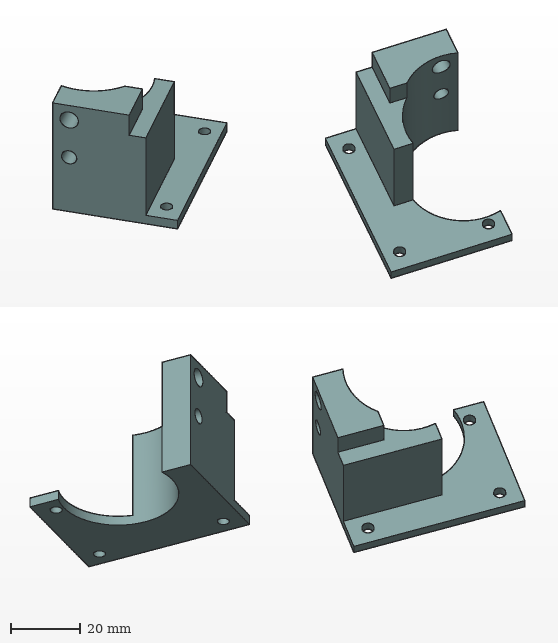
import cadquery as cq

plate_width = 37.5
plate_length = 52.0
plate_thickness = 3.0

lower_width = 28.0
lower_length = 30.0
lower_height = 30.0
upper_width = 23.0
upper_length = 14.0
total_height = 37.0

bore_diameter = 35.0
bore_x = 5.0
bore_y = plate_length / 2

screw_diameter = 3.5
screw_edge_inset = 6.0
screw_left_x = bore_x
screw_right_x = plate_width - 5.0
screw_back_y = plate_length - screw_edge_inset
screw_points = [
    (screw_left_x, screw_back_y),
    (screw_right_x, screw_back_y),
    (screw_right_x, screw_edge_inset),
]

wall_holes = [(5.5, 32.0), (4.5, 19.0)]
wall_hole_x = bore_x


def corner_box(width, length, height):
    """Box with its lowest front left corner at the origin."""
    return cq.Workplane("XY").box(width, length, height, centered=False)


body = corner_box(plate_width, plate_length, plate_thickness)
body = body.union(corner_box(lower_width, lower_length, lower_height))
body = body.union(corner_box(upper_width, upper_length, total_height))

bore = cq.Workplane("XY").center(bore_x, bore_y).circle(bore_diameter / 2).extrude(total_height)
body = body.cut(bore)

screws = cq.Workplane("XY").pushPoints(screw_points).circle(screw_diameter / 2).extrude(plate_thickness)
body = body.cut(screws)

for diameter, axis_height in wall_holes:
    hole = (
        cq.Workplane("XZ")
        .center(wall_hole_x, axis_height)
        .circle(diameter / 2)
        .extrude(-bore_y)
    )
    body = body.cut(hole)

result = body